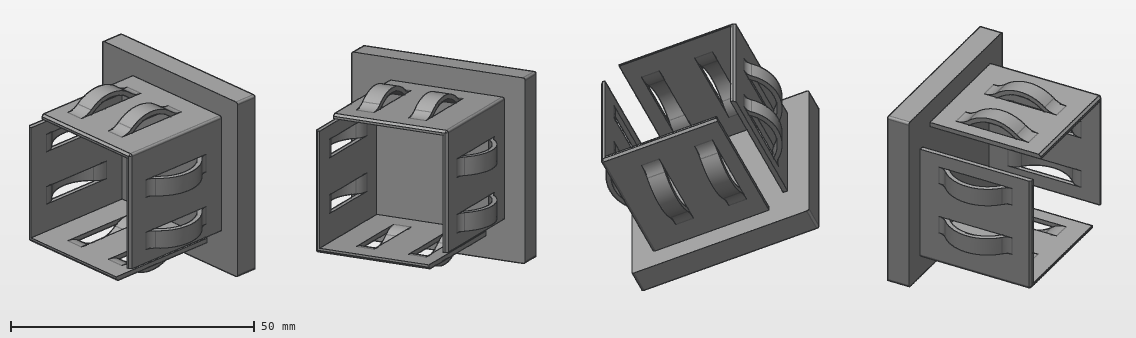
import cadquery as cq
import math


PLATE_SIZE = 40.0
PLATE_THICKNESS = 5.0

INSERT_DEPTH = 26.0
WALL_OUTER = 15.2
WALL_THICKNESS = 1.0
WALL_FREE_END = 11.0
WALL_CHAMFER = WALL_THICKNESS / 2
CORNER_RADIUS = WALL_THICKNESS / 2

STRIP_WIDTH = 4.0
STRIP_OFFSET = 6.0
STRIP_THICKNESS = WALL_THICKNESS
BOW_RADIUS = 9.0
SIDE_RISE = 3.8
SIDE_ROOT_RADIUS = 2.5
TOP_RISE = 3.0
TOP_ROOT_RADIUS = BOW_RADIUS / 2
STRIP_CENTRE_Y = INSERT_DEPTH / 2


def cover_plate():
    plate = cq.Workplane("XY").box(PLATE_SIZE, PLATE_THICKNESS, PLATE_SIZE)
    plate = plate.edges("|Y").fillet(CORNER_RADIUS)
    return plate.translate((0, INSERT_DEPTH + PLATE_THICKNESS / 2, 0))


def angle_walls():
    """Top and right walls, rounded at their corner and chamfered at the insertion end."""
    leg = WALL_OUTER + WALL_FREE_END
    block = cq.Workplane("XY").box(leg, INSERT_DEPTH, leg, centered=False)
    block = block.translate((-WALL_FREE_END, 0, -WALL_FREE_END))
    hollow = block.translate((-WALL_THICKNESS, 0, -WALL_THICKNESS))
    block = block.edges(">X and >Z").fillet(CORNER_RADIUS)
    block = block.faces("<Y").edges(">X or >Z").chamfer(WALL_CHAMFER)
    return block.cut(hollow)


def bow_half_span(rise, root_radius):
    """Half length at which the bow runs out tangent to the wall face."""
    centre_distance = BOW_RADIUS + root_radius
    return math.sqrt(centre_distance**2 - (centre_distance - rise) ** 2)


def bow_points(rise, root_radius, depth):
    """Points of the bow face lying `depth` below the outer one: its end, the middle
    of its root arc, the tangent point of root and bow, and its crown.
    Each is a (distance from strip centre, height) pair."""
    radius = BOW_RADIUS - depth
    root = root_radius + depth
    half_span = bow_half_span(rise, root_radius)
    slope = math.asin(half_span / (BOW_RADIUS + root_radius))
    centre_height = WALL_OUTER + rise - BOW_RADIUS
    root_height = WALL_OUTER + root_radius
    end = (half_span, WALL_OUTER - depth)
    middle = (
        half_span - root * math.sin(slope / 2),
        root_height - root * math.cos(slope / 2),
    )
    tangent = (radius * math.sin(slope), centre_height + radius * math.cos(slope))
    crown = (0, centre_height + radius)
    return end, middle, tangent, crown


def mirror(point):
    return (-point[0], point[1])


def top_strip(rise, root_radius):
    """Bowed strip above the top wall, centred on X = 0."""
    outer = bow_points(rise, root_radius, 0)
    inner = bow_points(rise, root_radius, STRIP_THICKNESS)
    profile = cq.Workplane("YZ").moveTo(*mirror(outer[0]))
    profile = profile.threePointArc(mirror(outer[1]), mirror(outer[2]))
    profile = profile.threePointArc(outer[3], outer[2])
    profile = profile.threePointArc(outer[1], outer[0])
    profile = profile.lineTo(*inner[0])
    profile = profile.threePointArc(inner[1], inner[2])
    profile = profile.threePointArc(inner[3], mirror(inner[2]))
    profile = profile.threePointArc(mirror(inner[1]), mirror(inner[0]))
    strip = profile.close().extrude(STRIP_WIDTH / 2, both=True)
    return strip.translate((0, STRIP_CENTRE_Y, 0))


def top_slot(rise, root_radius):
    """Opening in the top wall under the strip, centred on X = 0."""
    slot = cq.Workplane("XY").box(
        STRIP_WIDTH, 2 * bow_half_span(rise, root_radius), WALL_THICKNESS
    )
    return slot.translate((0, STRIP_CENTRE_Y, WALL_OUTER - WALL_THICKNESS / 2))


def turn_about_axis(body, degrees):
    return body.rotate((0, 0, 0), (0, 1, 0), degrees)


def sprung_angle():
    angle = angle_walls()
    walls = ((0, TOP_RISE, TOP_ROOT_RADIUS), (90, SIDE_RISE, SIDE_ROOT_RADIUS))
    for degrees, rise, root_radius in walls:
        for offset in (-STRIP_OFFSET, STRIP_OFFSET):
            slot = top_slot(rise, root_radius).translate((offset, 0, 0))
            strip = top_strip(rise, root_radius).translate((offset, 0, 0))
            angle = angle.cut(turn_about_axis(slot, degrees)).union(turn_about_axis(strip, degrees))
    return angle


angle = sprung_angle()
result = cover_plate().union(angle).union(turn_about_axis(angle, 180))